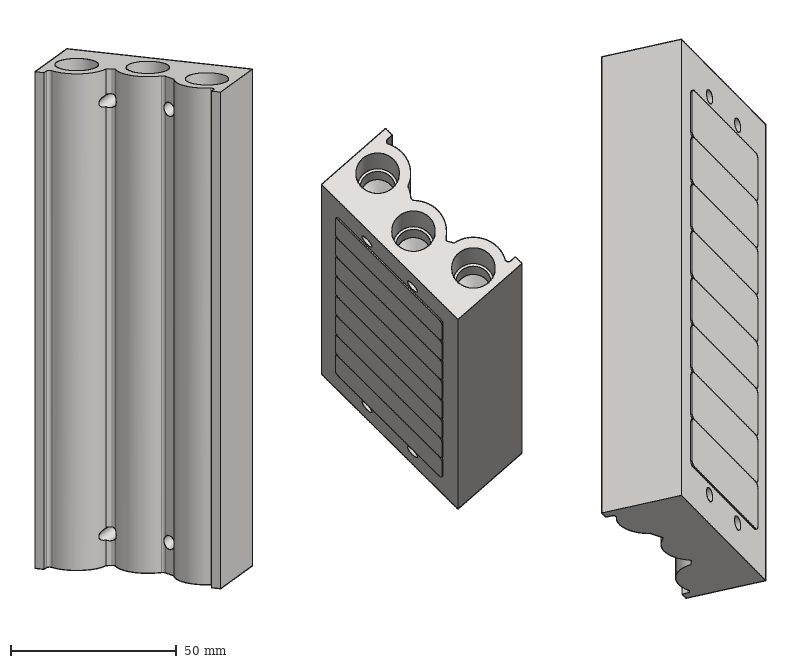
import cadquery as cq
import math

LENGTH = 156.0
WIDTH = 60.0
BLOCK_THICKNESS = 26.5
LIP_WIDTH = 3.0

LOBE_RADIUS = 10.0
LOBE_PITCH = 21.0
OUTER_BORE_Y = 11.7
MIDDLE_BORE_Y = 16.7
FILLET_RADIUS = 1.0
VALLEY_SLOPE = math.radians(30)
LEFT_VALLEY_X = -9.0
RIGHT_VALLEY_X = 7.8

BORE_RADIUS = 6.5
BORE_TAPER = 1 / 16
BORE_DEPTH = 12.0
DRILL_RADIUS = 5.3
DRILL_END_DEPTH = 18.7
DRILL_TIP_ANGLE = math.radians(118)

MOUNT_RADIUS = 2.2
MOUNT_X = 10.0
MOUNT_Z = 68.0

GASKET_COUNT = 8
GASKET_WIDTH = 46.8
GASKET_HEIGHT = 16.0
GASKET_THICKNESS = 0.5
GASKET_CORNER_RADIUS = 1.5


def point_between(start, end, distance):
    """Point at the given distance from start towards end."""
    ratio = distance / math.dist(start, end)
    return (start[0] + (end[0] - start[0]) * ratio, start[1] + (end[1] - start[1]) * ratio)


def slope_meets_lobe(start, lobe, side):
    """Where a valley slope, falling outwards from start, first meets an outer lobe."""
    direction = (side * math.cos(VALLEY_SLOPE), -math.sin(VALLEY_SLOPE))
    offset = (start[0] - lobe[0], start[1] - lobe[1])
    along = offset[0] * direction[0] + offset[1] * direction[1]
    gap = math.dist(start, lobe) ** 2 - LOBE_RADIUS**2
    reach = -along - math.sqrt(along**2 - gap)
    return (start[0] + reach * direction[0], start[1] + reach * direction[1])


def half_front_points(side, valley_x):
    """Points of one half of the front outline, from the lip tip to the middle lobe."""
    outer = (side * LOBE_PITCH, OUTER_BORE_Y)
    middle = (0, MIDDLE_BORE_Y)
    fillet_reach = LOBE_RADIUS + FILLET_RADIUS
    wall_x = side * (WIDTH / 2 - LIP_WIDTH)

    lip_fillet_x = wall_x - side * FILLET_RADIUS
    lip_fillet_drop = math.sqrt(fillet_reach**2 - (lip_fillet_x - outer[0]) ** 2)
    lip_fillet = (lip_fillet_x, outer[1] - lip_fillet_drop)

    valley = (valley_x, middle[1] - math.sqrt(fillet_reach**2 - valley_x**2))
    slope_top = (
        valley[0] + side * FILLET_RADIUS * math.sin(VALLEY_SLOPE),
        valley[1] + FILLET_RADIUS * math.cos(VALLEY_SLOPE),
    )

    return {
        "tip": (wall_x, 0),
        "wall_top": (wall_x, lip_fillet[1]),
        "lip_crown": (lip_fillet[0], lip_fillet[1] + FILLET_RADIUS),
        "lobe_start": point_between(lip_fillet, outer, FILLET_RADIUS),
        "lobe_bottom": (outer[0], outer[1] - LOBE_RADIUS),
        "slope_foot": slope_meets_lobe(slope_top, outer, side),
        "slope_top": slope_top,
        "valley_crown": (valley[0], valley[1] + FILLET_RADIUS),
        "middle_start": point_between(valley, middle, FILLET_RADIUS),
    }


def block_body():
    """Block with the lobed front, extruded along its length."""
    left = half_front_points(-1, LEFT_VALLEY_X)
    right = half_front_points(1, RIGHT_VALLEY_X)
    return (
        cq.Workplane("XY")
        .workplane(offset=-LENGTH / 2)
        .moveTo(-WIDTH / 2, BLOCK_THICKNESS)
        .lineTo(-WIDTH / 2, 0)
        .lineTo(*left["tip"])
        .lineTo(*left["wall_top"])
        .threePointArc(left["lip_crown"], left["lobe_start"])
        .threePointArc(left["lobe_bottom"], left["slope_foot"])
        .lineTo(*left["slope_top"])
        .threePointArc(left["valley_crown"], left["middle_start"])
        .threePointArc((0, MIDDLE_BORE_Y - LOBE_RADIUS), right["middle_start"])
        .threePointArc(right["valley_crown"], right["slope_top"])
        .lineTo(*right["slope_foot"])
        .threePointArc(right["lobe_bottom"], right["lobe_start"])
        .threePointArc(right["lip_crown"], right["wall_top"])
        .lineTo(*right["tip"])
        .lineTo(WIDTH / 2, 0)
        .lineTo(WIDTH / 2, BLOCK_THICKNESS)
        .close()
        .extrude(LENGTH)
    )


def bore_cutter(x, y):
    """Tapered, stepped blind bore with a drill-point bottom, opening on the top end."""
    tip_height = DRILL_RADIUS / math.tan(DRILL_TIP_ANGLE / 2)
    half_section = [
        (0, 0),
        (BORE_RADIUS, 0),
        (BORE_RADIUS - BORE_DEPTH * BORE_TAPER / 2, -BORE_DEPTH),
        (DRILL_RADIUS, -BORE_DEPTH),
        (DRILL_RADIUS, -DRILL_END_DEPTH),
        (0, -DRILL_END_DEPTH - tip_height),
    ]
    cutter = cq.Workplane("XZ").polyline(half_section).close().revolve(360, (0, 0), (0, 1))
    return cutter.translate((x, y, LENGTH / 2))


def mount_hole_cutters():
    """Four mounting holes through the valleys."""
    places = [(x, z) for x in (-MOUNT_X, MOUNT_X) for z in (-MOUNT_Z, MOUNT_Z)]
    return cq.Workplane("XZ").pushPoints(places).circle(MOUNT_RADIUS).extrude(-BLOCK_THICKNESS)


def make_housing():
    """Manifold block with its three bores and four mounting holes."""
    housing = block_body()
    bores = [(-LOBE_PITCH, OUTER_BORE_Y), (0, MIDDLE_BORE_Y), (LOBE_PITCH, OUTER_BORE_Y)]
    for x, y in bores:
        housing = housing.cut(bore_cutter(x, y))
    return housing.cut(mount_hole_cutters())


def make_gasket(z):
    """Flat rounded gasket on the rear face, centred at height z."""
    return (
        cq.Workplane("XY")
        .box(GASKET_WIDTH, GASKET_THICKNESS, GASKET_HEIGHT)
        .edges("|Y")
        .fillet(GASKET_CORNER_RADIUS)
        .translate((0, BLOCK_THICKNESS + GASKET_THICKNESS / 2, z))
    )


housing = make_housing()
first_gasket_z = -GASKET_HEIGHT * (GASKET_COUNT - 1) / 2
gaskets = [make_gasket(first_gasket_z + i * GASKET_HEIGHT) for i in range(GASKET_COUNT)]

result = cq.Compound.makeCompound([housing.val(), *[gasket.val() for gasket in gaskets]])